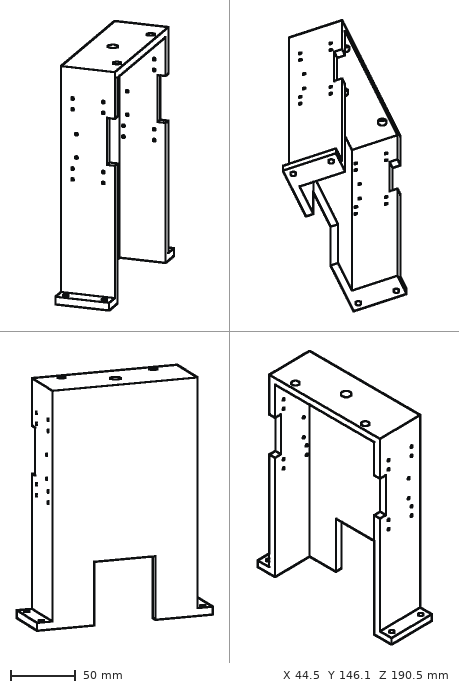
import cadquery as cq

INCH = 25.4
wall = INCH / 4
depth = 1.75 * INCH
body_width = 4.75 * INCH
height = 7.5 * INCH
foot_length = INCH / 2
overall_width = body_width + 2 * foot_length

back_x = -depth / 2
open_x = depth / 2

leg_gap_width = 2 * INCH
leg_gap_height = 2 * INCH

notch_depth = 6.65
notch_height = 38.2
notch_drop = 1.5 * INCH

center_hole_diameter = 8.2
center_hole_x = back_x + 20.65
side_hole_diameter = 6.5
side_hole_x = open_x - wall
side_hole_y = 1.5 * INCH

foot_hole_diameter = 4.2
foot_hole_x_inset = wall
foot_hole_y_inset = 5.9

corner_hole_diameter = 2.0
corner_hole_first_inset = 0.375 * INCH
corner_hole_x_pitch = INCH
corner_hole_first_drop = INCH
corner_hole_pair_pitch = 8.85
corner_hole_group_pitch = 2.25 * INCH
middle_hole_diameter = 1.95
middle_hole_inset = INCH / 2
middle_hole_first_drop = 54.1
middle_hole_pitch = 0.75 * INCH


def box(x_range, y_range, z_range):
    """Box spanning the given (low, high) limits on each axis."""
    x_low, x_high = x_range
    y_low, y_high = y_range
    z_low, z_high = z_range
    size = (x_high - x_low, y_high - y_low, z_high - z_low)
    return cq.Workplane("XY").box(*size, centered=False).translate((x_low, y_low, z_low))


def vertical_holes(points, diameter, z_low):
    """Cutters through one panel thickness, starting at z_low."""
    return (
        cq.Workplane("XY", origin=(0, 0, z_low))
        .pushPoints(points)
        .circle(diameter / 2)
        .extrude(wall)
    )


def side_wall_holes(points, diameter):
    """Cutters running along Y through both side walls at (x, z) points."""
    return (
        cq.Workplane("XZ")
        .pushPoints(points)
        .circle(diameter / 2)
        .extrude(body_width / 2, both=True)
    )


def make_housing():
    """Box open at the bottom and at +X, standing on two outward feet."""
    half_body = body_width / 2
    half_overall = overall_width / 2
    half_cavity = half_body - wall
    body = box((back_x, open_x), (-half_body, half_body), (0, height))
    feet = box((back_x, open_x), (-half_overall, half_overall), (0, wall))
    cavity = box((back_x + wall, open_x), (-half_cavity, half_cavity), (0, height - wall))
    return body.union(feet).cut(cavity)


def make_leg_gap():
    half_gap = leg_gap_width / 2
    return box((back_x, back_x + wall), (-half_gap, half_gap), (0, leg_gap_height))


def make_notch():
    top = height - notch_drop
    half_body = body_width / 2
    return box((open_x - notch_depth, open_x), (-half_body, half_body), (top - notch_height, top))


def make_top_holes():
    z_low = height - wall
    center = vertical_holes([(center_hole_x, 0)], center_hole_diameter, z_low)
    side_points = [(side_hole_x, side * side_hole_y) for side in (-1, 1)]
    return center.union(vertical_holes(side_points, side_hole_diameter, z_low))


def make_foot_holes():
    hole_x = depth / 2 - foot_hole_x_inset
    hole_y = overall_width / 2 - foot_hole_y_inset
    points = [(i * hole_x, j * hole_y) for i in (-1, 1) for j in (-1, 1)]
    return vertical_holes(points, foot_hole_diameter, 0)


def make_side_wall_holes():
    corner_points = []
    for column in range(2):
        x = back_x + corner_hole_first_inset + column * corner_hole_x_pitch
        for group in range(2):
            for row in range(2):
                drop = (
                    corner_hole_first_drop
                    + group * corner_hole_group_pitch
                    + row * corner_hole_pair_pitch
                )
                corner_points.append((x, height - drop))
    middle_x = back_x + middle_hole_inset
    middle_z = height - middle_hole_first_drop
    middle_points = [(middle_x, middle_z - row * middle_hole_pitch) for row in range(2)]
    corner_holes = side_wall_holes(corner_points, corner_hole_diameter)
    return corner_holes.union(side_wall_holes(middle_points, middle_hole_diameter))


result = (
    make_housing()
    .cut(make_leg_gap())
    .cut(make_notch())
    .cut(make_top_holes())
    .cut(make_foot_holes())
    .cut(make_side_wall_holes())
)